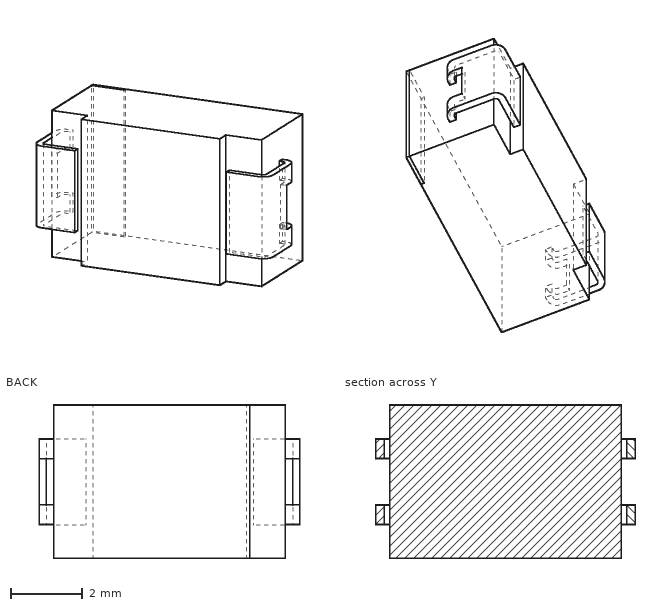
import cadquery as cq

total_length = 7.3
depth = 3.1
height = 4.3

lead_thickness = 0.2
lead_gap = 0.205
lead_width = 2.4
lead_reach = 1.76
foot_length = 1.3
inner_bend = 0.1
outer_bend = inner_bend + lead_thickness
window_width = 1.3
window_depth = 0.555

lead_offset = lead_thickness + lead_gap
housing_length = total_length - 2 * lead_offset
step_depth = lead_offset
step_length = foot_length + lead_gap - lead_offset

band_length = 1.0
band_depth = 0.1

front_y = -depth / 2
back_y = depth / 2
end_x = total_length / 2
housing_end_x = housing_length / 2


def box_between(x_min, x_max, y_min, y_max, z_size):
    """Box centred on Z = 0 with the given X and Y limits."""
    return cq.Workplane("XY").box(x_max - x_min, y_max - y_min, z_size).translate(
        ((x_min + x_max) / 2, (y_min + y_max) / 2, 0)
    )


def make_band():
    """Flush strip along the back edge of the -X end."""
    return box_between(
        -housing_end_x, -housing_end_x + band_length, back_y - band_depth, back_y, height
    )


def make_housing(band):
    """Block stepped back at both front corners, with a recess for the band."""
    block = box_between(-housing_end_x, housing_end_x, front_y, back_y, height)
    step = box_between(
        -housing_end_x, -housing_end_x + step_length, front_y, front_y + step_depth, height
    )
    return block.cut(step).cut(step.mirror("YZ")).cut(band)


def make_lead(side):
    """Bent lead on the given X side (-1 or +1), ending against the housing."""
    lead_back_y = front_y + lead_reach
    outside = box_between(
        -end_x, -end_x + foot_length, front_y, lead_back_y, lead_width
    ).edges("|Z and <X").fillet(outer_bend)
    inside = box_between(
        -end_x + lead_thickness,
        -end_x + foot_length,
        front_y + lead_thickness,
        lead_back_y - lead_thickness,
        lead_width,
    ).edges("|Z and <X").fillet(inner_bend)
    behind_housing_end = box_between(
        -housing_end_x, -end_x + foot_length, front_y + lead_thickness, lead_back_y, lead_width
    )
    window = box_between(
        -end_x, -housing_end_x, lead_back_y - window_depth, lead_back_y, window_width
    )
    lead = outside.cut(inside).cut(behind_housing_end).cut(window)
    return lead if side < 0 else lead.mirror("YZ")


band = make_band()
housing = make_housing(band)
leads = [make_lead(side) for side in (-1, 1)]

result = cq.Compound.makeCompound(
    [housing.solids().val(), band.val(), *[lead.solids().val() for lead in leads]]
)